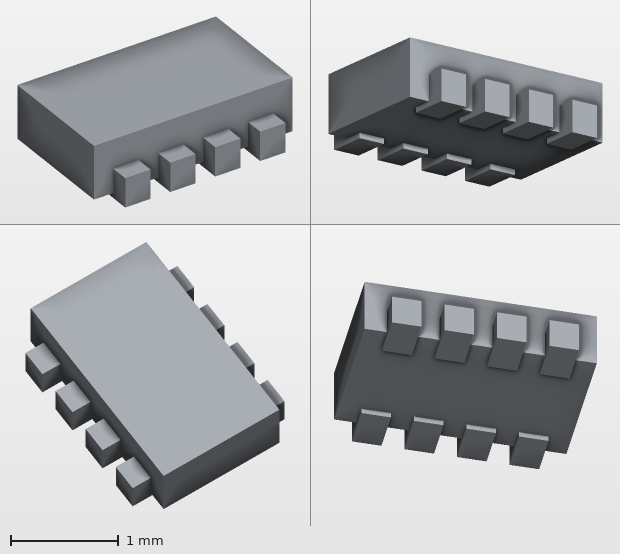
import cadquery as cq

overall_width = 1.7
overall_height = 0.64

housing_width = 1.295
housing_length = 2.208
standoff = 0.055
housing_height = overall_height - standoff

leads_per_side = 4
lead_pitch = 0.5
lead_length = 0.405
lead_width = 0.28
lead_height = 0.32

marker_diameter = 0.065
marker_depth = 0.02
marker_x = -0.52
marker_y = 0.75


def make_lead(side, row):
    """One lead block; side is -1 or +1 along X, row counts up along Y."""
    x_center = side * (overall_width - lead_length) / 2
    y_center = (row - (leads_per_side - 1) / 2) * lead_pitch
    return (
        cq.Workplane("XY")
        .center(x_center, y_center)
        .rect(lead_length, lead_width)
        .extrude(lead_height)
    )


def make_marker():
    """Disc whose top is level with the top of the housing."""
    return (
        cq.Workplane("XY", origin=(marker_x, marker_y, overall_height))
        .circle(marker_diameter / 2)
        .extrude(-marker_depth)
    )


def make_housing(inserts):
    """Rectangular block with a matching recess for every inserted body."""
    housing = (
        cq.Workplane("XY", origin=(0, 0, standoff))
        .rect(housing_width, housing_length)
        .extrude(housing_height)
    )
    for insert in inserts:
        housing = housing.cut(insert)
    return housing


leads = [make_lead(side, row) for side in (-1, 1) for row in range(leads_per_side)]
marker = make_marker()
housing = make_housing([*leads, marker])

result = cq.Compound.makeCompound(
    [housing.val(), marker.val(), *[lead.val() for lead in leads]]
)